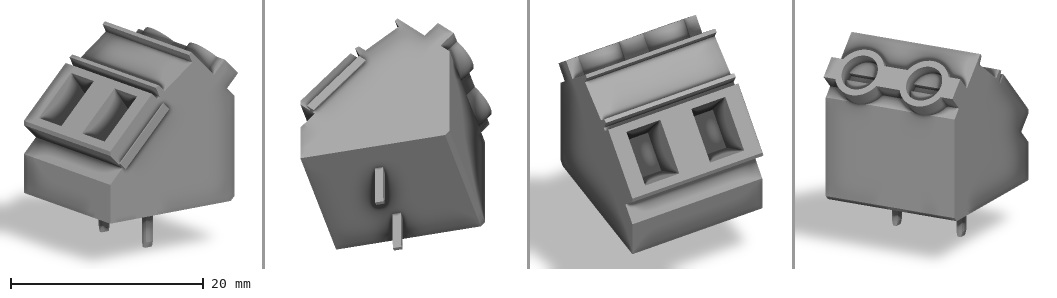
import cadquery as cq
import math

DIAGONAL = math.sqrt(0.5)
LEFT_TO_RIGHT = (1, 0, 0)
WIRE_FACE_UPHILL = (0, 1, 1)
SCREW_OUTWARD = (0, 1, 1)

pole_count = 2
pitch = 7.63
housing_width = pole_count * pitch
pole_positions = [(index + 0.5) * pitch for index in range(pole_count)]

housing_depth = 15.95
heel_chamfer = 0.47
crest_y = 10.4
crest_z = 16.8

notch_bottom = 4.17
notch_depth = 1.55
notch_middle = notch_bottom + notch_depth
notch_top = notch_middle + notch_depth
wire_face_bottom = 7.75
wire_face_rise = 5.37
wire_face_top = wire_face_bottom + wire_face_rise
gutter_drop = 0.75
gutter_floor = 0.23

deck_front_y = 6.97
deck_front_z = 13.16
deck_rear_y = 10.52
deck_rear_z = 15.68
front_fin_rise = 0.72
front_fin_tip_run = 0.38
front_fin_tip_drop = 0.21
rear_fin_tip = 0.28

bank_height = 2.0
bank_width = 2.4
collar_radius = 2.7
bank_y = 15.57
bank_z = crest_y + crest_z + bank_height / DIAGONAL - bank_y

screw_radius = 2.0
screw_recess = 1.5
screw_length = 2.0
slot_width = 0.8
slot_depth = 0.64

funnel_width = 3.98
funnel_mouth = 5.9
funnel_floor = 4.17
funnel_depth = 4.77

rib_reach = 0.6
rib_neck_reach = 0.17
rib_lip = 0.15
rib_width = 1.02
rib_neck_width = 0.4
rib_length = (wire_face_top + wire_face_rise - notch_top) * DIAGONAL

pin_width = 0.7
pin_thickness = 0.9
pin_length = 4.5
pin_tip_width = 0.4
pin_tip_length = 0.6
pin_y = 7.55


def screw_plane(depth):
    """Plane across the screw axes, at a depth below the top of the screw bank."""
    shift = depth * DIAGONAL
    return cq.Plane((0, bank_y - shift, bank_z - shift), LEFT_TO_RIGHT, SCREW_OUTWARD)


def screw_cylinder(x, radius, top_depth, length):
    """Cylinder on the screw axis at x, reaching down from top_depth."""
    base = cq.Workplane(screw_plane(top_depth + length))
    return base.center(x, 0).circle(radius).extrude(length)


def housing_block():
    gutter_y = wire_face_rise + gutter_drop
    gutter_z = wire_face_top - gutter_drop
    front_fin_y = deck_front_y - front_fin_rise
    front_fin_z = deck_front_z + front_fin_rise
    outline = [
        (0, 0),
        (0, notch_bottom),
        (notch_depth, notch_middle),
        (0, notch_top),
        (0, wire_face_bottom),
        (wire_face_rise, wire_face_top),
        (gutter_y, gutter_z),
        (gutter_y + gutter_floor, gutter_z + gutter_floor),
        (front_fin_y - front_fin_tip_run, front_fin_z - front_fin_tip_drop),
        (front_fin_y, front_fin_z),
        (deck_front_y, deck_front_z),
        (deck_rear_y, deck_rear_z),
        (crest_y - rear_fin_tip, crest_z - rear_fin_tip),
        (crest_y, crest_z),
        (housing_depth, crest_z - (housing_depth - crest_y)),
        (housing_depth, heel_chamfer),
        (housing_depth - heel_chamfer, 0),
    ]
    return cq.Workplane("YZ").polyline(outline).close().extrude(housing_width)


def screw_bank():
    base = cq.Workplane(screw_plane(bank_height))
    bank = base.center(housing_width / 2, 0).rect(housing_width, bank_width).extrude(bank_height)
    for x in pole_positions:
        bank = bank.union(screw_cylinder(x, collar_radius, 0, bank_height))
    return bank


def screw_hole(x):
    return screw_cylinder(x, screw_radius, 0, screw_recess + screw_length)


def wire_funnel(x):
    """Cutter for one wire entry, square to the wire face."""
    mouth_y = wire_face_rise / 2
    mouth_z = wire_face_bottom + mouth_y
    section = cq.Plane((x, mouth_y, mouth_z), WIRE_FACE_UPHILL, LEFT_TO_RIGHT)
    outline = [
        (-funnel_mouth / 2, 0),
        (funnel_mouth / 2, 0),
        (funnel_floor / 2, -funnel_depth),
        (-funnel_floor / 2, -funnel_depth),
    ]
    return cq.Workplane(section).polyline(outline).close().extrude(funnel_width / 2, both=True)


def dovetail_rib():
    """Rib whose lower corner starts at the bottom of the front notch."""
    half_rise = rib_width / 2 * DIAGONAL
    start = (housing_width, notch_depth - half_rise, notch_middle + half_rise)
    section = cq.Plane(start, LEFT_TO_RIGHT, WIRE_FACE_UPHILL)
    lip_start = rib_reach - rib_lip
    outline = [
        (0, -rib_neck_width / 2),
        (rib_neck_reach, -rib_neck_width / 2),
        (lip_start, -rib_width / 2),
        (rib_reach, -rib_width / 2),
        (rib_reach, rib_width / 2),
        (lip_start, rib_width / 2),
        (rib_neck_reach, rib_neck_width / 2),
        (0, rib_neck_width / 2),
    ]
    return cq.Workplane(section).polyline(outline).close().extrude(rib_length)


def make_housing():
    housing = housing_block().union(screw_bank()).union(dovetail_rib())
    for x in pole_positions:
        housing = housing.cut(screw_hole(x)).cut(wire_funnel(x))
    return housing


def make_screw(x):
    """Slotted screw that fills its hole below the recess."""
    screw = screw_cylinder(x, screw_radius, screw_recess, screw_length)
    slot_base = cq.Workplane(screw_plane(screw_recess + slot_depth))
    slot = slot_base.center(x, 0).rect(2 * screw_radius, slot_width).extrude(slot_depth)
    return screw.cut(slot)


def make_pin(x):
    """Flat pin hanging from the underside, narrowed along X at its tip."""
    outline = [
        (x - pin_width / 2, 0),
        (x + pin_width / 2, 0),
        (x + pin_width / 2, pin_tip_length - pin_length),
        (x + pin_tip_width / 2, -pin_length),
        (x - pin_tip_width / 2, -pin_length),
        (x - pin_width / 2, pin_tip_length - pin_length),
    ]
    section = cq.Workplane("XZ", origin=(0, pin_y, 0))
    return section.polyline(outline).close().extrude(pin_thickness / 2, both=True)


housing = make_housing()
screws = [make_screw(x) for x in pole_positions]
pins = [make_pin(x) for x in pole_positions]

result = cq.Compound.makeCompound([
    housing.val(),
    *[screw.val() for screw in screws],
    *[pin.val() for pin in pins],
])